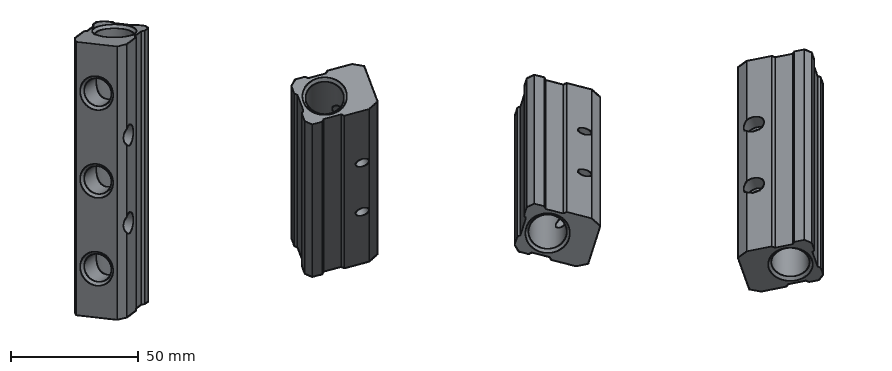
import cadquery as cq

width = 22.0
depth = 30.0
length = 112.0
half_width = width / 2
front_chamfer_x = 2.4
front_chamfer_y = 4.3
back_chamfer = 2.4

groove_depth = 1.0
side_floor_half = 3.6
side_mouth_half = side_floor_half + groove_depth
back_floor_half = 3.8
back_mouth_half = back_floor_half + groove_depth

bore_radius = 7.5
bore_mouth_radius = 8.7
bore_y = depth - width / 2

port_radius = 5.7
port_mouth_radius = 7.0
port_pitch = 36.0

mount_radius = 2.74
mount_y = 7.0
recess_radius = 4.3
recess_depth = 5.6


def block():
    """Extrude the symmetric outline, drawn as its +X half and mirrored."""
    floor_x = half_width - groove_depth
    right_half = [
        (half_width - front_chamfer_x, 0),
        (half_width, front_chamfer_y),
        (half_width, bore_y - side_mouth_half),
        (floor_x, bore_y - side_floor_half),
        (floor_x, bore_y + side_floor_half),
        (half_width, bore_y + side_mouth_half),
        (half_width, depth - back_chamfer),
        (half_width - back_chamfer, depth),
        (back_mouth_half, depth),
        (back_floor_half, depth - groove_depth),
    ]
    left_half = [(-x, y) for x, y in reversed(right_half)]
    outline = cq.Workplane("XY").polyline(right_half + left_half).close()
    return outline.extrude(length / 2, both=True)


def cylinder(radius, height, start, direction):
    return cq.Workplane(cq.Solid.makeCylinder(radius, height, cq.Vector(*start), cq.Vector(*direction)))


def countersink(mouth_radius, hole_radius, start, direction):
    """45 degree cone narrowing from the mouth to the hole."""
    cone_depth = mouth_radius - hole_radius
    cone = cq.Solid.makeCone(mouth_radius, hole_radius, cone_depth, cq.Vector(*start), cq.Vector(*direction))
    return cq.Workplane(cone)


def cut_bore(body):
    body = body.cut(cylinder(bore_radius, length, (0, bore_y, -length / 2), (0, 0, 1)))
    for end in (-1, 1):
        mouth = (0, bore_y, end * length / 2)
        body = body.cut(countersink(bore_mouth_radius, bore_radius, mouth, (0, 0, -end)))
    return body


def cut_ports(body):
    for index in (-1, 0, 1):
        mouth = (0, 0, index * port_pitch)
        body = body.cut(cylinder(port_radius, bore_y, mouth, (0, 1, 0)))
        body = body.cut(countersink(port_mouth_radius, port_radius, mouth, (0, 1, 0)))
    return body


def cut_mounting_holes(body):
    for side in (-1, 1):
        z = side * port_pitch / 2
        body = body.cut(cylinder(mount_radius, width, (-half_width, mount_y, z), (1, 0, 0)))
        body = body.cut(cylinder(recess_radius, recess_depth, (half_width, mount_y, z), (-1, 0, 0)))
    return body


result = cut_mounting_holes(cut_ports(cut_bore(block())))